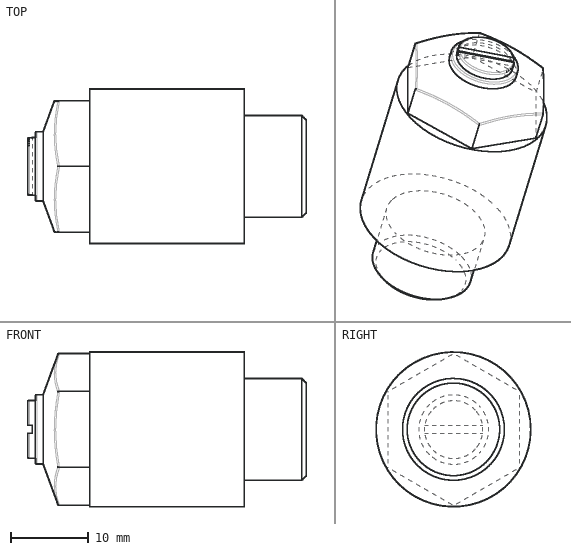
import cadquery as cq
import math

screw_length = 1.0
collar_length = 1.0
nut_length = 6.0
body_length = 20.0
spigot_length = 8.0

screw_diameter = 7.5
collar_diameter = 9.0
nut_across_flats = 17.0
body_diameter = 20.0
spigot_diameter = 13.16

nut_sides = 6
nut_cone_angle = 20.0
edge_radius = 0.2
spigot_chamfer = 0.6
slot_width = 1.0
slot_depth = 0.6

collar_x = screw_length
nut_x = collar_x + collar_length
body_x = nut_x + nut_length
spigot_x = body_x + body_length

nut_across_corners = nut_across_flats / math.cos(math.pi / nut_sides)


def cylinder(start_x, length, diameter):
    """Cylinder along the X axis."""
    return cq.Workplane("YZ", origin=(start_x, 0, 0)).circle(diameter / 2).extrude(length)


def rounded_disc(start_x, length, diameter):
    """Cylinder with its outward (-X) rim rounded."""
    return cylinder(start_x, length, diameter).faces("<X").edges().fillet(edge_radius)


def make_nut():
    """Hexagon with two corners toward +Z and -Z, its outer end turned to a cone with a rounded rim."""
    hexagon = (
        cq.Workplane("YZ", origin=(nut_x, 0, 0))
        .polygon(nut_sides, nut_across_corners)
        .extrude(nut_length)
        .rotate((0, 0, 0), (1, 0, 0), 90)
    )
    collar_radius = collar_diameter / 2
    envelope_radius = body_diameter / 2
    cone_height = (envelope_radius - collar_radius) * math.tan(math.radians(nut_cone_angle))
    envelope = (
        cq.Workplane("XY")
        .moveTo(nut_x, 0)
        .lineTo(nut_x, collar_radius)
        .lineTo(nut_x + cone_height, envelope_radius)
        .lineTo(body_x, envelope_radius)
        .lineTo(body_x, 0)
        .close()
        .revolve(360, (0, 0, 0), (1, 0, 0))
    )
    nut = hexagon.intersect(envelope)
    cone_rim = nut.faces("%CONE").edges("not %CIRCLE")
    return cone_rim.fillet(edge_radius)


def make_slot():
    """Screwdriver slot running along Y across the screw face."""
    return cq.Workplane("XY").box(slot_depth, screw_diameter, slot_width, centered=(False, True, True))


screw = rounded_disc(0, screw_length, screw_diameter).cut(make_slot())
collar = rounded_disc(collar_x, collar_length, collar_diameter)
body = cylinder(body_x, body_length, body_diameter)
spigot = cylinder(spigot_x, spigot_length, spigot_diameter).faces(">X").chamfer(spigot_chamfer)

result = screw.union(collar).union(make_nut()).union(body).union(spigot)